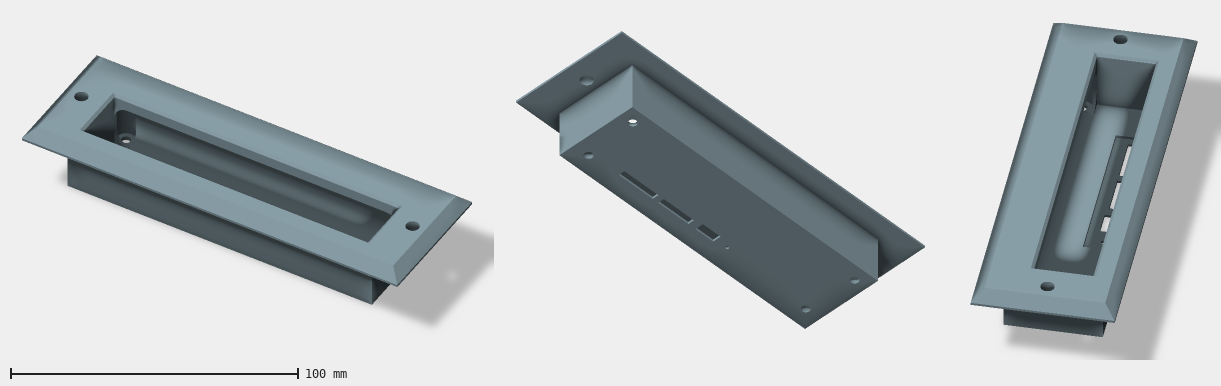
import cadquery as cq

plate_length = 152.0
plate_width = 51.0
plate_thickness = 5.0
plate_bevel = 4.1

total_height = 25.0
box_length = 123.1
box_front = -18.5
box_back = 16.7
floor_thickness = 2.0

window_length = 115.0
window_front = -14.5
window_back = 6.5
rim_bevel = 1.0

undercut_depth = 7.0
undercut_top_radius = 5.5
undercut_bottom_radius = 7.0

mount_spacing = 134.0
mount_diameter = 5.0
front_screw_spacing = 108.8
front_screw_y = -11.2
rear_screw_spacing = 111.3
rear_screw_y = 11.2
screw_diameter = 3.5
screw_head_diameter = 7.0
screw_seat_depth = 0.5

panel_left = -17.8
panel_right = 42.7
panel_back = -3.0
panel_depth = 1.0
led_x = -12.9
led_y = -9.3
led_diameter = 1.5
socket_front = -10.6
sockets = [
    (-7.3, 8.8, 3.6),
    (5.2, 15.0, 2.7),
    (23.0, 17.0, 2.7),
]

floor_z = floor_thickness - total_height


def block(x_min, x_max, y_min, y_max, z_min, z_max):
    """Box given by its limits along each axis."""
    size = (x_max - x_min, y_max - y_min, z_max - z_min)
    return cq.Workplane("XY").box(*size, centered=False).translate((x_min, y_min, z_min))


def centred_block(length, y_min, y_max, z_min, z_max):
    """Box centred on X."""
    return block(-length / 2, length / 2, y_min, y_max, z_min, z_max)


def cylinder(x, y, diameter, z_min, z_max):
    """Upright cylinder between two heights."""
    base = cq.Workplane("XY", origin=(x, y, z_min))
    return base.circle(diameter / 2).extrude(z_max - z_min)


def bezel_plate():
    plate = centred_block(plate_length, -plate_width / 2, plate_width / 2, -plate_thickness, 0)
    return plate.faces(">Z").chamfer(plate_bevel)


def window():
    """Straight-sided cavity that flares out at 45 degrees through the rim bevel."""
    well = centred_block(window_length, window_front, window_back, floor_z, 0)
    middle = (window_front + window_back) / 2
    width = window_back - window_front
    rim_base = cq.Workplane("XY", origin=(0, middle, -rim_bevel)).rect(window_length, width)
    rim_top = rim_base.workplane(offset=rim_bevel)
    rim = rim_top.rect(window_length + 2 * rim_bevel, width + 2 * rim_bevel).loft()
    return well.union(rim)


def undercut():
    """Rounded space reaching from the middle of the cavity to behind the window."""
    space = centred_block(
        window_length, 0, window_back + undercut_depth, floor_z, -plate_thickness
    )
    space = space.edges("|Y and >Z").fillet(undercut_top_radius)
    return space.faces("<Z").edges("|Y or >Y").fillet(undercut_bottom_radius)


def connector_panel():
    panel_z = floor_z - panel_depth
    cuts = block(panel_left, panel_right, window_front, panel_back, panel_z, floor_z)
    cuts = cuts.union(cylinder(led_x, led_y, led_diameter, -total_height, floor_z))
    for left, length, width in sockets:
        cuts = cuts.union(
            block(left, left + length, socket_front, socket_front + width, -total_height, floor_z)
        )
    return cuts


body = bezel_plate().union(
    centred_block(box_length, box_front, box_back, -total_height, -plate_thickness)
)
body = body.cut(window()).cut(undercut()).cut(connector_panel())

for side in (-1, 1):
    body = body.cut(cylinder(side * mount_spacing / 2, 0, mount_diameter, -total_height, 0))
    front_x = side * front_screw_spacing / 2
    rear_x = side * rear_screw_spacing / 2
    for x, y in ((front_x, front_screw_y), (rear_x, rear_screw_y)):
        body = body.cut(cylinder(x, y, screw_diameter, -total_height, floor_z))
    seat_z = floor_z - screw_seat_depth
    body = body.cut(cylinder(rear_x, rear_screw_y, screw_head_diameter, seat_z, -plate_thickness))

result = body